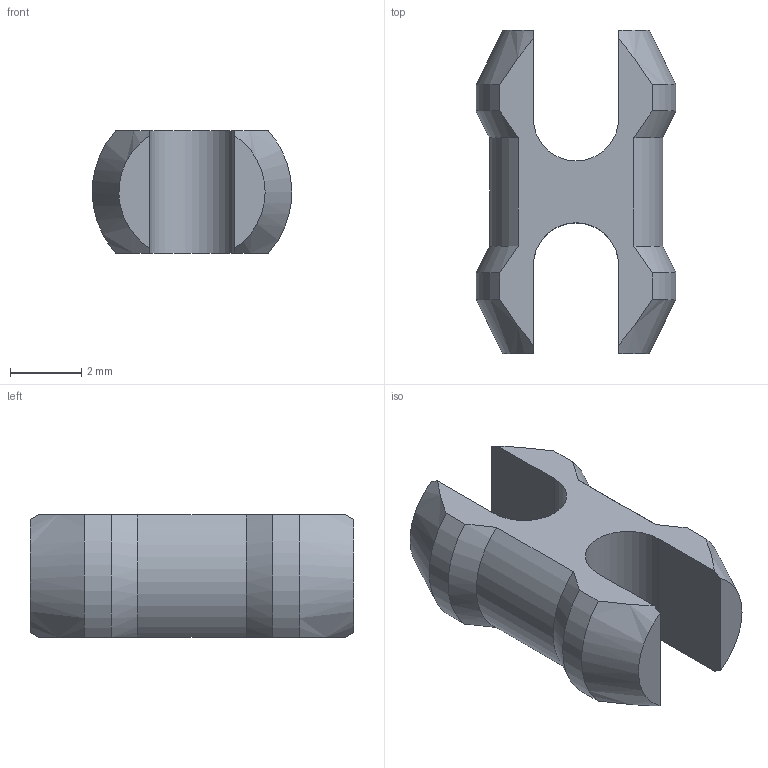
import cadquery as cq

length = 9.1
bead_radius = 2.81
thickness = 3.45

oval_ratio = 0.95
end_radius = 2.06
shaft_radius = 2.44
half_length = length / 2
bead_outer_y = 3.03
bead_inner_y = 2.28
shaft_half_length = 1.53

slot_width = 2.4
slot_radius = slot_width / 2
web_length = 1.74
slot_centre_y = web_length / 2 + slot_radius


def oval_pin():
    """Shaft with a bead near each end, lofted through ovals along the Y axis."""
    half_stations = [
        (half_length, end_radius),
        (bead_outer_y, bead_radius),
        (bead_inner_y, bead_radius),
        (shaft_half_length, shaft_radius),
    ]
    mirrored_stations = [(-y, radius) for y, radius in reversed(half_stations)]
    sections = []
    for y, radius in half_stations + mirrored_stations:
        oval = cq.Workplane("XZ", origin=(0, y, 0)).ellipse(radius, radius * oval_ratio)
        sections.append(oval.val())
    return cq.Workplane(cq.Solid.makeLoft(sections, True))


def flattened(pin):
    """Keep only the slab between the top and bottom flats."""
    slab = cq.Workplane("XY").box(2 * bead_radius, length, thickness)
    return pin.intersect(slab)


def end_slot(side):
    """Slot through Z, open at the +Y end (side = 1) or the -Y end (side = -1)."""
    return (
        cq.Workplane("XY", origin=(0, 0, -thickness / 2))
        .moveTo(-slot_radius, side * half_length)
        .lineTo(-slot_radius, side * slot_centre_y)
        .threePointArc((0, side * web_length / 2), (slot_radius, side * slot_centre_y))
        .lineTo(slot_radius, side * half_length)
        .close()
        .extrude(thickness)
    )


result = flattened(oval_pin())
for side in (-1, 1):
    result = result.cut(end_slot(side))